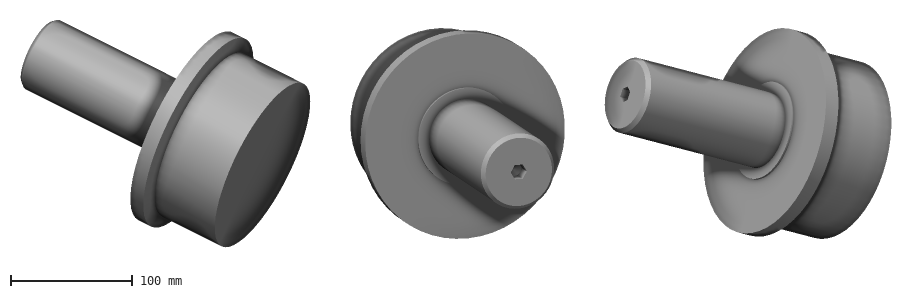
import cadquery as cq
import math

overall_length = 216.0

shaft_radius = 63.5 / 2
shaft_chamfer_length = 3.5
shaft_chamfer_depth = 3.0

collar_radius = 82.0 / 2
collar_width = 2.0

flange_radius = 173.0 / 2
flange_width = 12.5
flange_slope_angle = 20.0

tread_radius = 150.0 / 2
roller_width = 74.5

socket_sides = 6
socket_across_flats = 12.0
socket_depth = 12.0
drill_point_angle = 120.0

shaft_end_x = -overall_length / 2
roller_end_x = shaft_end_x + overall_length
flange_face_x = roller_end_x - roller_width
flange_back_x = flange_face_x + flange_width
collar_face_x = flange_face_x - collar_width
slope_length = (flange_radius - tread_radius) * math.tan(math.radians(flange_slope_angle))
tread_start_x = flange_back_x + slope_length


def revolve_about_x(points):
    """Close a half profile given as (x, radius) points and revolve it about the X axis."""
    return cq.Workplane("XY").polyline(points).close().revolve(360, (0, 0, 0), (1, 0, 0))


def make_body():
    """Shaft, collar, flange and tread as one turned body."""
    return revolve_about_x([
        (shaft_end_x, 0),
        (shaft_end_x, shaft_radius - shaft_chamfer_depth),
        (shaft_end_x + shaft_chamfer_length, shaft_radius),
        (collar_face_x, shaft_radius),
        (collar_face_x, collar_radius),
        (flange_face_x, collar_radius),
        (flange_face_x, flange_radius),
        (flange_back_x, flange_radius),
        (tread_start_x, tread_radius),
        (roller_end_x, tread_radius),
        (roller_end_x, 0),
    ])


def make_socket():
    """Hexagon socket, corners along Y, ending in a cone as wide as its flats."""
    across_corners = socket_across_flats / math.cos(math.pi / socket_sides)
    hexagon = (
        cq.Workplane("YZ", origin=(shaft_end_x, 0, 0))
        .polygon(socket_sides, across_corners)
        .extrude(socket_depth)
    )
    point_radius = socket_across_flats / 2
    point_length = point_radius / math.tan(math.radians(drill_point_angle / 2))
    socket_bottom_x = shaft_end_x + socket_depth
    drill_point = revolve_about_x([
        (socket_bottom_x, 0),
        (socket_bottom_x, point_radius),
        (socket_bottom_x + point_length, 0),
    ])
    return hexagon.union(drill_point)


result = make_body().cut(make_socket())